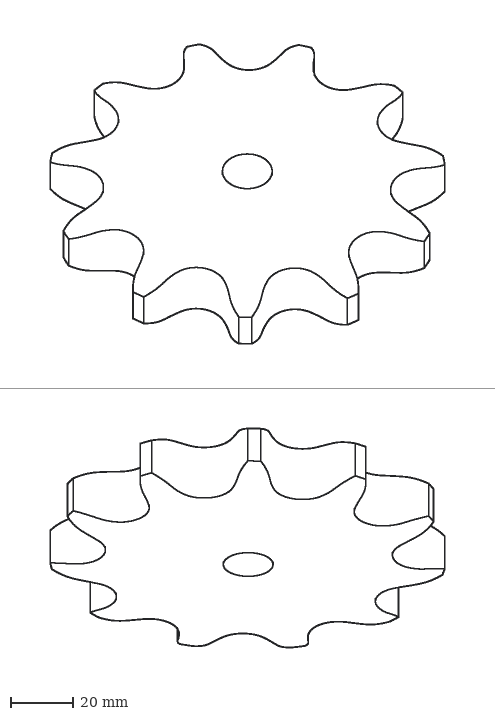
import cadquery as cq
import math

tooth_count = 11
chain_pitch = 31.8
roller_diameter = 19.0
outer_diameter = 127.8
thickness = 18.5
bore_diameter = 16.0

relief_start_radius = 49.3
tip_thickness = 12.0

seating_ratio = 1.0075
working_centre_distance = 0.8 * roller_diameter
topping_centre_distance = 1.4 * roller_diameter
seating_angle = math.radians(35 + 60 / tooth_count)
working_angle = math.radians(18 - 56 / tooth_count)

half_tooth_angle = math.pi / tooth_count
pitch_radius = chain_pitch / 2 / math.sin(half_tooth_angle)
seating_radius = seating_ratio * roller_diameter / 2
working_radius = working_centre_distance + seating_radius
outer_radius = outer_diameter / 2


def polar(centre, radius, angle):
    """Point at a radius and angle from a centre."""
    return (centre[0] + radius * math.cos(angle), centre[1] + radius * math.sin(angle))


def arc_midpoint(centre, radius, start_angle, end_angle):
    return polar(centre, radius, (start_angle + end_angle) / 2)


def mirrored(point):
    return (-point[0], point[1])


roller_centre = (0, pitch_radius)
working_centre = polar(roller_centre, working_centre_distance, math.pi - seating_angle)
topping_centre = polar(roller_centre, topping_centre_distance, -half_tooth_angle)

flank_angle = working_angle - seating_angle
centre_offset = (topping_centre[0] - working_centre[0], topping_centre[1] - working_centre[1])
topping_radius = (
    centre_offset[0] * math.cos(flank_angle)
    + centre_offset[1] * math.sin(flank_angle)
    - working_radius
)
topping_start_angle = flank_angle + math.pi

topping_centre_radius = math.hypot(*topping_centre)
tip_angle_at_axis = math.acos(
    (topping_centre_radius**2 + outer_radius**2 - topping_radius**2)
    / (2 * topping_centre_radius * outer_radius)
)
tip_corner = polar(
    (0, 0), outer_radius, math.atan2(topping_centre[1], topping_centre[0]) + tip_angle_at_axis
)
topping_end_angle = math.atan2(tip_corner[1] - topping_centre[1], tip_corner[0] - topping_centre[0])

seating_end = polar(roller_centre, seating_radius, -seating_angle)
working_middle = arc_midpoint(working_centre, working_radius, -seating_angle, flank_angle)
flank_start = polar(working_centre, working_radius, flank_angle)
flank_end = polar(topping_centre, topping_radius, topping_start_angle)
topping_middle = arc_midpoint(topping_centre, topping_radius, topping_start_angle, topping_end_angle)
seating_bottom = (0, pitch_radius - seating_radius)


def make_tooth_gap():
    """Cutter for the gap on the +Y axis, closed beyond the outer circle."""
    clear_y = outer_radius + seating_radius
    return (
        cq.Workplane("XY")
        .workplane(offset=-thickness / 2)
        .moveTo(*mirrored(tip_corner))
        .threePointArc(mirrored(topping_middle), mirrored(flank_end))
        .lineTo(*mirrored(flank_start))
        .threePointArc(mirrored(working_middle), mirrored(seating_end))
        .threePointArc(seating_bottom, seating_end)
        .threePointArc(working_middle, flank_start)
        .lineTo(*flank_end)
        .threePointArc(topping_middle, tip_corner)
        .lineTo(tip_corner[0], clear_y)
        .lineTo(-tip_corner[0], clear_y)
        .close()
        .extrude(thickness)
    )


def make_blank():
    """Disc with side reliefs that leave the flat faces tangentially."""
    relief_width = outer_radius - relief_start_radius
    relief_depth = (thickness - tip_thickness) / 2
    relief_radius = (relief_width**2 + relief_depth**2) / (2 * relief_depth)
    middle_angle = math.asin(relief_width / relief_radius) / 2
    middle_r = relief_start_radius + relief_radius * math.sin(middle_angle)
    middle_z = thickness / 2 - relief_radius * (1 - math.cos(middle_angle))
    return (
        cq.Workplane("XZ")
        .moveTo(0, -thickness / 2)
        .lineTo(relief_start_radius, -thickness / 2)
        .threePointArc((middle_r, -middle_z), (outer_radius, -tip_thickness / 2))
        .lineTo(outer_radius, tip_thickness / 2)
        .threePointArc((middle_r, middle_z), (relief_start_radius, thickness / 2))
        .lineTo(0, thickness / 2)
        .close()
        .revolve(360, (0, 0, 0), (0, 1, 0))
    )


result = make_blank()
tooth_gap = make_tooth_gap()
for index in range(tooth_count):
    result = result.cut(tooth_gap.rotate((0, 0, 0), (0, 0, 1), index * 360 / tooth_count))

bore = cq.Workplane("XY").circle(bore_diameter / 2).extrude(thickness, both=True)
result = result.cut(bore)